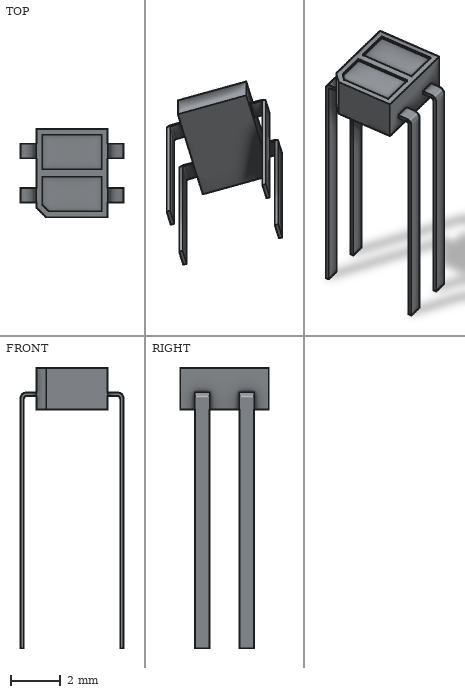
import cadquery as cq
import math

body_x = 2.9
body_y = 3.6
body_z = 1.7
corner_cut = 0.4

rim = 0.25
divider = 0.3
window_depth = 0.1

lead_span = 4.2
lead_width = 0.6
lead_thickness = 0.15
lead_pitch = 1.8
lead_drop = 1.0
bend_radius = 0.25
total_height = 11.4
lead_embed = 0.2

window_x = body_x - 2 * rim
window_y = (body_y - 2 * rim - divider) / 2
window_offset = (divider + window_y) / 2
window_cut = corner_cut - rim * (2 - math.sqrt(2))


def block(size_x, size_y, height, center_y=0, bottom=0):
    """Upright block centred in X."""
    return (
        cq.Workplane("XY", origin=(0, center_y, bottom))
        .rect(size_x, size_y)
        .extrude(height)
    )


def cut_front_left(solid, leg):
    """Bevel the vertical edge at the -X, -Y corner."""
    return solid.edges("|Z").edges("<X").edges("<Y").chamfer(leg)


def make_housing():
    housing = cut_front_left(block(body_x, body_y, body_z), corner_cut)
    floor = body_z - window_depth
    rear_window = block(window_x, window_y, window_depth, window_offset, floor)
    front_window = block(window_x, window_y, window_depth, -window_offset, floor)
    front_window = cut_front_left(front_window, window_cut)
    return housing.cut(rear_window).cut(front_window)


def make_lead(center_y):
    """Flat lead leaving the +X side of the housing and bending down."""
    top = body_z - lead_drop
    underside = top - lead_thickness
    tip = body_z - total_height
    root = body_x / 2 - lead_embed
    outer = lead_span / 2
    inner = outer - lead_thickness
    bend_x = outer - bend_radius
    bend_z = top - bend_radius
    diagonal = math.sqrt(0.5)
    outer_mid = bend_radius * diagonal
    inner_mid = (bend_radius - lead_thickness) * diagonal
    return (
        cq.Workplane("XZ", origin=(0, center_y, 0))
        .moveTo(root, top)
        .lineTo(bend_x, top)
        .threePointArc((bend_x + outer_mid, bend_z + outer_mid), (outer, bend_z))
        .lineTo(outer, tip)
        .lineTo(inner, tip)
        .lineTo(inner, bend_z)
        .threePointArc((bend_x + inner_mid, bend_z + inner_mid), (bend_x, underside))
        .lineTo(root, underside)
        .close()
        .extrude(lead_width / 2, both=True)
    )


result = make_housing()
for lead_y in (-lead_pitch / 2, lead_pitch / 2):
    lead = make_lead(lead_y)
    result = result.union(lead).union(lead.mirror("YZ"))